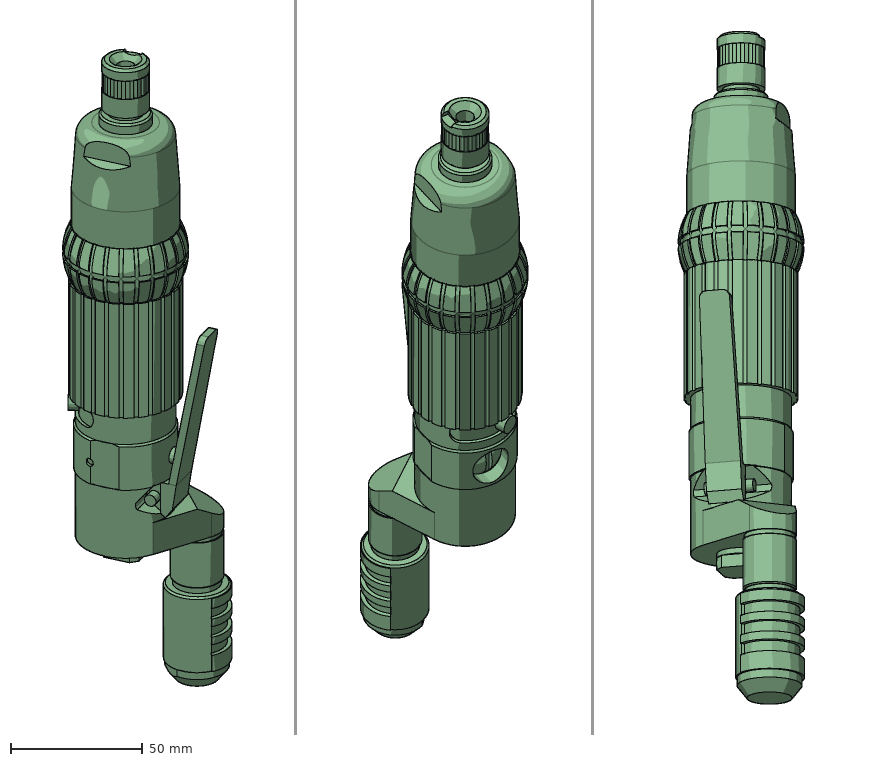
import cadquery as cq
import math

inlet_top = 269.2
inlet_bottom = 248.5
inlet_radius = 9.2
inlet_rounding = 1.0
inlet_neck_radius = 7.0
knurl_top = 264.5
knurl_bottom = 256.5
knurl_diameter = 18.0
knurl_radius = knurl_diameter / 2
knurl_count = 18
knurl_width = 1.5
knurl_depth = 0.4
socket_mouth_radius = 6.2
socket_radius = 3.5
socket_depth = 8.0
keyway_width = 7.3
keyway_inner = 5.5
keyway_depth = 1.5

collar_top = 246.4
collar_radius = 10.2
collar_chamfer = 0.8
cap_top = 242.0
cap_flat_radius = 13.0
cap_shoulder_radius = 19.0
cap_shoulder_z = 237.0
cap_base_radius = 20.7
cap_base_z = 214.3
cap_flat_offset = 16.7
cap_flat_floor_z = 233.2
cap_flat_floor_slope = 0.7

ball_top = 198.5
ball_bottom = 175.0
ball_diameter = 48.2
ball_radius = ball_diameter / 2
ball_end_radius = 21.0
pad_depth = 0.8
ball_channel_width = 2.7

flute_count = 24
flute_width = 1.5
flute_depth = 0.67
flute_start_angle = 275.5
grip_radius = 21.8
grip_bottom = 126.0

body_diameter = 38.5
body_radius = body_diameter / 2
body_bottom = 64.4
valve_band_radius = 20.0
valve_band_top = 113.4
valve_band_bottom = 94.0
valve_band_chamfer = 0.8
valve_flats_across = 38.0
valve_flat_offset = valve_flats_across / 2
valve_z = 103.0
vent_x = -6.5
vent_radius = 1.5
vent_depth = 2.7

window_top = 125.5
window_bottom = 117.0
window_depth = 1.3
window_start_angle = 130
window_end_angle = 255
tab_radius = 3.8
tab_reach = 21.8
tab_angle = 200
dish_diameter = 16.0
dish_radius = dish_diameter / 2
dish_floor_x = -13.5
dome_height = 4.0
screw_slot_width = 2.7
screw_slot_depth = 2.5
button_radius = 3.2
button_end_x = 21.8

spindle_x = 21.8
spindle_y = 17.8
spindle_radius = 10.2
lug_top = 78.0
lug_slope_start = 25.3
lug_slope_angle = 30
nut_washer_diameter = 18.5
nut_washer_radius = nut_washer_diameter / 2
nut_washer_height = 2.2
nut_size = 16.2
nut_corner = 2.7
nut_bottom = 57.4

chuck_top = 40.5
chuck_radius = 13.0
chuck_angle = 50
sleeve_diameter = 26.7
sleeve_radius = sleeve_diameter / 2
chuck_chamfer = 0.8
chuck_shoulder_z = 8.0
nose_radius = 12.5
nose_cone_z = 4.8
nose_tip_radius = 8.5
nose_flat_offset = 11.0
spindle_neck_radius = 9.5
spindle_neck_top = 42.8
spindle_chamfer = 0.5
spindle_groove_bottom = 62.5
spindle_groove_depth = 0.5
notch_bottoms = (15.0, 23.0, 30.7)
notch_height = 4.5
notch_depth = 1.3

lever_bottom_x = 21.3
lever_bottom_z = 94.2
lever_top_x = 33.0
lever_top_z = 159.0
lever_thickness = 3.2
lever_bottom_width = 14.0
lever_top_width = 11.8
lever_tip_rounding = 2.7
pin_x = 14.8
pin_z = 87.0
pin_radius = 2.5
pin_length = 19.5
foot_radius = 3.5
arm_width = 11.3
foot_shoulder_x = 16.7
foot_heel_x = 23.0
foot_heel_z = 83.5
foot_toe_x = 20.0
foot_toe_z = 79.5

clearance = 1.3
ball_middle_z = (ball_top + ball_bottom) / 2
window_middle_z = (window_top + window_bottom) / 2
head_angle = math.degrees(math.atan2(spindle_y, spindle_x))


def cylinder(radius, bottom, top, x=0):
    """Upright cylinder between two heights."""
    return cq.Workplane("XY", origin=(x, 0, bottom)).circle(radius).extrude(top - bottom)


def fluted_cylinder(radius, depth, count, start_angle, width, bottom, top):
    """Upright cylinder on the main axis with evenly spaced round-bottomed grooves."""
    half_groove = math.asin(width / 2 / radius)
    pitch = 2 * math.pi / count

    def rim_point(rim_radius, angle):
        return (rim_radius * math.cos(angle), rim_radius * math.sin(angle))

    angle = math.radians(start_angle)
    outline = cq.Workplane("XY").workplane(offset=bottom).moveTo(*rim_point(radius, angle - half_groove))
    for _ in range(count):
        land_end = angle + pitch - half_groove
        outline = outline.threePointArc(
            rim_point(radius - depth, angle), rim_point(radius, angle + half_groove)
        )
        outline = outline.threePointArc(rim_point(radius, angle + pitch / 2), rim_point(radius, land_end))
        angle += pitch
    return outline.close().extrude(top - bottom)


def barrel():
    """Turned body from the lower housing to the air inlet, without the ball ring's pads."""
    profile = (
        cq.Workplane("XZ")
        .moveTo(0, body_bottom)
        .lineTo(body_radius, body_bottom)
        .lineTo(body_radius, valve_band_bottom)
        .lineTo(valve_band_radius, valve_band_bottom)
        .lineTo(valve_band_radius, valve_band_top - valve_band_chamfer)
        .lineTo(body_radius, valve_band_top)
        .lineTo(body_radius, ball_top)
        .lineTo(cap_base_radius, ball_top)
        .lineTo(cap_base_radius, cap_base_z)
        .lineTo(cap_shoulder_radius, cap_shoulder_z)
        .tangentArcPoint((cap_flat_radius, cap_top), relative=False)
        .lineTo(collar_radius, cap_top)
        .lineTo(collar_radius, collar_top - collar_chamfer)
        .lineTo(collar_radius - collar_chamfer, collar_top)
        .lineTo(inlet_neck_radius, collar_top)
        .lineTo(inlet_neck_radius, inlet_bottom)
        .lineTo(inlet_radius, inlet_bottom)
        .lineTo(inlet_radius, knurl_bottom)
        .lineTo(inlet_neck_radius, knurl_bottom)
        .lineTo(inlet_neck_radius, knurl_top)
        .lineTo(inlet_radius, knurl_top)
        .lineTo(inlet_radius, inlet_top - inlet_rounding)
        .lineTo(inlet_radius - inlet_rounding, inlet_top)
        .lineTo(0, inlet_top)
        .close()
    )
    return profile.revolve(360, (0, 0, 0), (0, 1, 0))


def ball_shape():
    """Barrel-shaped ring around the main axis."""
    return (
        cq.Workplane("XZ")
        .moveTo(0, ball_bottom)
        .lineTo(ball_end_radius, ball_bottom)
        .threePointArc((ball_radius, ball_middle_z), (ball_end_radius, ball_top))
        .lineTo(0, ball_top)
        .close()
        .revolve(360, (0, 0, 0), (0, 1, 0))
    )


def ball_ring():
    """Ball ring whose surface is divided into two rows of pads."""
    channel_bottom = ball_middle_z - ball_channel_width / 2
    channel_top = ball_middle_z + ball_channel_width / 2
    channel = cylinder(ball_radius + clearance, channel_bottom, channel_top).cut(
        cylinder(ball_radius - pad_depth, channel_bottom, channel_top)
    )
    slot = (
        cq.Workplane("XZ")
        .moveTo(ball_end_radius - pad_depth, ball_bottom)
        .threePointArc((ball_radius - pad_depth, ball_middle_z), (ball_end_radius - pad_depth, ball_top))
        .lineTo(ball_radius + clearance, ball_top)
        .lineTo(ball_radius + clearance, ball_bottom)
        .close()
        .extrude(flute_width / 2, both=True)
    )
    slots = [
        slot.rotate((0, 0, 0), (0, 0, 1), flute_start_angle + index * 360 / flute_count).val()
        for index in range(flute_count)
    ]
    return cq.Workplane(ball_shape().cut(channel).val().cut(*slots))


def cap_flats():
    """Two wrench cut-outs on the cap, each with a floor that falls outward."""
    reach = cap_base_radius + clearance
    floor_drop = (reach - cap_flat_offset) * cap_flat_floor_slope
    cutter = (
        cq.Workplane("YZ")
        .moveTo(cap_flat_offset, cap_flat_floor_z)
        .lineTo(reach, cap_flat_floor_z - floor_drop)
        .lineTo(reach, cap_top)
        .lineTo(cap_flat_offset, cap_top)
        .close()
        .extrude(cap_base_radius, both=True)
    )
    return cutter.union(cutter.mirror("XZ"))


def inlet_cuts():
    """Stepped socket and keyway of the air inlet."""
    mouth_depth = socket_mouth_radius - socket_radius
    socket = (
        cq.Workplane("XZ")
        .moveTo(0, inlet_top)
        .lineTo(socket_mouth_radius, inlet_top)
        .lineTo(socket_radius, inlet_top - mouth_depth)
        .lineTo(socket_radius, inlet_top - socket_depth)
        .lineTo(0, inlet_top - socket_depth)
        .close()
        .revolve(360, (0, 0, 0), (0, 1, 0))
    )
    keyway = (
        cq.Workplane("XY")
        .box(keyway_width, inlet_radius, keyway_depth, centered=(True, False, False))
        .translate((0, keyway_inner, inlet_top - keyway_depth))
    )
    return socket.union(keyway)


def valve_band_cuts():
    """Two flats, the vent hole and a round pit whose floor is a slotted dome."""
    band_height = valve_band_top - valve_band_bottom
    cutter = (
        cq.Workplane("XY")
        .box(2 * valve_band_radius, valve_band_radius, band_height, centered=(True, False, False))
        .translate((0, valve_flat_offset, valve_band_bottom))
    )
    flats = cutter.union(cutter.mirror("XZ"))
    vent = (
        cq.Workplane("XZ", origin=(vent_x, -valve_band_radius, valve_z))
        .circle(vent_radius)
        .extrude(-vent_depth)
    )
    dish = (
        cq.Workplane("YZ", origin=(dish_floor_x, 0, valve_z))
        .circle(dish_radius)
        .extrude(-valve_band_radius)
    )
    dome_sphere_radius = (dish_radius**2 + dome_height**2) / (2 * dome_height)
    dome_top_x = dish_floor_x - dome_height
    dome = (
        cq.Workplane("XY")
        .sphere(dome_sphere_radius)
        .translate((dome_top_x + dome_sphere_radius, 0, valve_z))
    )
    slot = (
        cq.Workplane("XY")
        .box(screw_slot_depth, screw_slot_width, 2 * dish_radius, centered=(False, True, True))
        .translate((dome_top_x, 0, valve_z))
    )
    return flats.union(vent).union(dish.cut(dome.cut(slot)))


def reversing_window():
    """Shallow round-ended recess around the -X side."""
    height = window_top - window_bottom
    end_radius = height / 2
    end_trim = math.degrees(end_radius / body_radius)
    first = window_start_angle + end_trim
    last = window_end_angle - end_trim
    inner = body_radius - window_depth
    recess = (
        cq.Workplane("XZ")
        .moveTo(inner, window_bottom)
        .lineTo(body_radius + clearance, window_bottom)
        .lineTo(body_radius + clearance, window_top)
        .lineTo(inner, window_top)
        .close()
        .revolve(last - first, (0, 0, 0), (0, 1, 0))
    )
    recess = recess.rotate((0, 0, 0), (0, 0, 1), first)
    ring = cylinder(body_radius + clearance, window_bottom, window_top).cut(
        cylinder(inner, window_bottom, window_top)
    )
    for angle in (first, last):
        end = cq.Workplane("YZ").circle(end_radius).extrude(body_radius + clearance)
        end = end.translate((0, 0, window_middle_z)).rotate((0, 0, 0), (0, 0, 1), angle)
        recess = recess.union(end.intersect(ring), clean=False)
    return recess


def reversing_tab():
    """Round tab that stands out of the window."""
    tab = cq.Workplane("YZ").circle(tab_radius).extrude(tab_reach)
    return tab.translate((0, 0, window_middle_z)).rotate((0, 0, 0), (0, 0, 1), tab_angle)


def offset_lug():
    """Arm that joins the body to the spindle, tangent to both, with a sloping end."""
    distance = math.hypot(spindle_x, spindle_y)
    lean = (body_radius - spindle_radius) / distance
    rise = math.sqrt(1 - lean**2)
    sides = [
        (body_radius * lean, body_radius * rise),
        (distance + spindle_radius * lean, spindle_radius * rise),
        (distance + spindle_radius * lean, -spindle_radius * rise),
        (body_radius * lean, -body_radius * rise),
    ]
    height = lug_top - body_bottom
    arm = cq.Workplane("XY").workplane(offset=body_bottom).polyline(sides).close().extrude(height)
    arm = arm.union(cylinder(spindle_radius, body_bottom, lug_top, distance))
    run = distance + spindle_radius + clearance - lug_slope_start
    slope = (
        cq.Workplane("XZ")
        .moveTo(lug_slope_start, lug_top)
        .lineTo(lug_slope_start + run, lug_top)
        .lineTo(lug_slope_start + run, lug_top - run * math.tan(math.radians(lug_slope_angle)))
        .close()
        .extrude(body_radius, both=True)
    )
    return arm.cut(slope).rotate((0, 0, 0), (0, 0, 1), head_angle)


def bottom_nut():
    """Washer and square nut with cut corners under the body."""
    washer_bottom = body_bottom - nut_washer_height
    nut = (
        cq.Workplane("XY", origin=(0, 0, nut_bottom))
        .rect(nut_size, nut_size)
        .extrude(washer_bottom - nut_bottom)
        .edges("|Z")
        .chamfer(nut_corner)
    )
    return nut.union(cylinder(nut_washer_radius, washer_bottom, body_bottom))


def half_ring(inner, outer, bottom, top):
    """Half of a ring around the origin, on the +X side."""
    return (
        cq.Workplane("XY")
        .workplane(offset=bottom)
        .moveTo(0, -outer)
        .threePointArc((outer, 0), (0, outer))
        .lineTo(0, inner)
        .threePointArc((inner, 0), (0, -inner))
        .close()
        .extrude(top - bottom)
    )


def chuck():
    """Spindle and chuck, turned about the spindle axis, with notches on the outward half."""
    turned = (
        cq.Workplane("XZ")
        .lineTo(nose_tip_radius, 0)
        .lineTo(nose_radius, nose_cone_z)
        .lineTo(nose_radius, chuck_shoulder_z)
        .lineTo(chuck_radius, chuck_shoulder_z)
        .lineTo(chuck_radius, chuck_top - chuck_chamfer)
        .lineTo(chuck_radius - chuck_chamfer, chuck_top)
        .lineTo(spindle_neck_radius, chuck_top)
        .lineTo(spindle_neck_radius, spindle_neck_top)
        .lineTo(spindle_radius - spindle_chamfer, spindle_neck_top)
        .lineTo(spindle_radius, spindle_neck_top + spindle_chamfer)
        .lineTo(spindle_radius, spindle_groove_bottom)
        .lineTo(spindle_radius - spindle_groove_depth, spindle_groove_bottom)
        .lineTo(spindle_radius - spindle_groove_depth, body_bottom)
        .lineTo(0, body_bottom)
        .close()
        .revolve(360, (0, 0, 0), (0, 1, 0))
    )
    notch_root = chuck_radius - notch_depth
    sleeve = half_ring(notch_root, sleeve_radius, chuck_shoulder_z, chuck_top - chuck_chamfer)
    turned = turned.union(sleeve)
    for bottom in notch_bottoms:
        notch = half_ring(notch_root, sleeve_radius + clearance, bottom, bottom + notch_height)
        turned = turned.cut(notch)
    nose_flat = (
        cq.Workplane("XY")
        .box(chuck_radius, 2 * chuck_radius, chuck_shoulder_z, centered=(False, True, False))
        .translate((-nose_flat_offset - chuck_radius, 0, 0))
    )
    turned = turned.cut(nose_flat)
    return turned.rotate((0, 0, 0), (0, 0, 1), chuck_angle).translate((spindle_x, spindle_y, 0))


def lever_foot(width):
    """Foot shape of the given width: a round nose at the pin that widens toward the blade."""
    to_shoulder = math.atan2(lever_bottom_z - pin_z, foot_shoulder_x - pin_x) + math.pi / 2
    to_toe = math.atan2(foot_toe_z - pin_z, foot_toe_x - pin_x) - math.pi / 2
    to_front = (to_shoulder + to_toe + 2 * math.pi) / 2

    def nose_point(angle):
        return (pin_x + foot_radius * math.cos(angle), pin_z + foot_radius * math.sin(angle))

    return (
        cq.Workplane("XZ")
        .moveTo(foot_shoulder_x, lever_bottom_z)
        .lineTo(lever_bottom_x + lever_thickness, lever_bottom_z)
        .lineTo(foot_heel_x, foot_heel_z)
        .lineTo(foot_toe_x, foot_toe_z)
        .lineTo(*nose_point(to_toe))
        .threePointArc(nose_point(to_front), nose_point(to_shoulder))
        .close()
        .extrude(width / 2, both=True)
    )


def make_tool():
    """Housing with its ball ring, inlet, valve parts, offset head and chuck, as one solid."""
    grip = fluted_cylinder(
        grip_radius, flute_depth, flute_count, flute_start_angle, flute_width, grip_bottom, ball_bottom
    )
    knurl = fluted_cylinder(
        knurl_radius, knurl_depth, knurl_count, 0, knurl_width, knurl_bottom, knurl_top
    )
    button = cq.Workplane("YZ").circle(button_radius).extrude(button_end_x).translate((0, 0, valve_z))
    tool = barrel().union(grip).union(ball_ring()).union(knurl)
    tool = tool.cut(cap_flats()).cut(inlet_cuts())
    tool = tool.cut(reversing_window()).union(reversing_tab())
    tool = tool.union(button).cut(valve_band_cuts())
    tool = tool.union(offset_lug()).cut(lever_foot(2 * body_radius))
    return tool.union(bottom_nut()).union(chuck())


def make_lever():
    """Tapering blade with a rounded tip on a narrower foot with a curved back plate and a pin."""
    side = (
        cq.Workplane("XZ")
        .moveTo(lever_bottom_x, lever_bottom_z)
        .lineTo(lever_bottom_x + lever_thickness, lever_bottom_z)
        .lineTo(lever_top_x + lever_thickness, lever_top_z)
        .lineTo(lever_top_x, lever_top_z)
        .close()
        .extrude(lever_bottom_width, both=True)
    )
    taper = (
        cq.Workplane("YZ")
        .moveTo(-lever_bottom_width / 2, lever_bottom_z)
        .lineTo(lever_bottom_width / 2, lever_bottom_z)
        .lineTo(lever_top_width / 2, lever_top_z)
        .lineTo(-lever_top_width / 2, lever_top_z)
        .close()
        .extrude(lever_top_x + 2 * lever_thickness)
        .edges(">Z and |X")
        .fillet(lever_tip_rounding)
    )
    pin = (
        cq.Workplane("XZ", origin=(pin_x, 0, pin_z))
        .circle(pin_radius)
        .extrude(pin_length / 2, both=True)
    )
    back_plate = lever_foot(lever_bottom_width).cut(cylinder(body_radius, foot_toe_z, lever_bottom_z))
    foot = lever_foot(arm_width).union(back_plate)
    return side.intersect(taper).union(foot).union(pin)


tool = make_tool()
lever = make_lever()
result = cq.Compound.makeCompound([tool.val(), lever.val()])